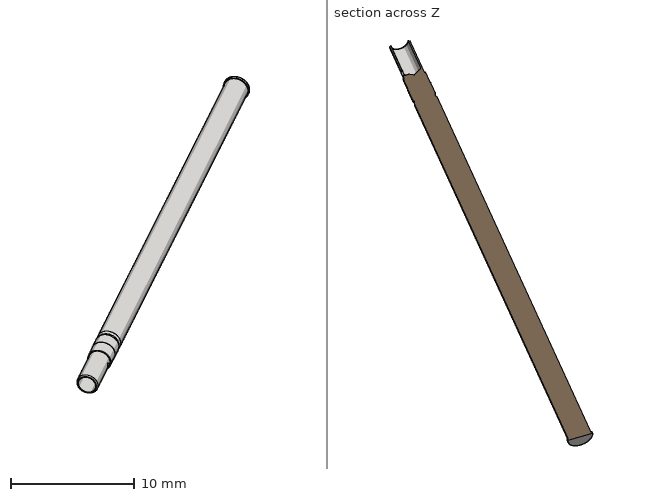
import cadquery as cq

length = 42.85
collar_diameter = 2.2
collar_thickness = 0.2
body_diameter = 2.0
tail_diameter = 1.8
tail_length = 3.5
tail_chamfer = 0.103

band_diameter = 1.95
band_length = 1.15

groove_center = 6.0
groove_width = 0.5
groove_depth = 0.08

bore_diameter = 1.45
bore_depth = 3.0
bore_cone_height = 0.43
side_hole_diameter = 0.43

tail_end = -length / 2
collar_end = length / 2
band_start = tail_end + tail_length
body_start = band_start + band_length
bore_bottom = tail_end + bore_depth


def revolve_about_y(points):
    """Turn a closed (radius, y) outline around the Y axis."""
    return cq.Workplane("XY").polyline(points).close().revolve(360, (0, 0, 0), (0, 1, 0))


def make_pin():
    collar_start = collar_end - collar_thickness
    groove_y = tail_end + groove_center
    body_radius = body_diameter / 2
    return revolve_about_y([
        (0, tail_end),
        (tail_diameter / 2 - tail_chamfer, tail_end),
        (tail_diameter / 2, tail_end + tail_chamfer),
        (tail_diameter / 2, band_start),
        (band_diameter / 2, band_start),
        (band_diameter / 2, body_start),
        (body_radius, body_start),
        (body_radius, groove_y - groove_width / 2),
        (body_radius - groove_depth, groove_y),
        (body_radius, groove_y + groove_width / 2),
        (body_radius, collar_start),
        (collar_diameter / 2, collar_start),
        (collar_diameter / 2, collar_end),
        (0, collar_end),
    ])


def make_bore():
    return revolve_about_y([
        (0, tail_end),
        (bore_diameter / 2, tail_end),
        (bore_diameter / 2, bore_bottom),
        (0, bore_bottom + bore_cone_height),
    ])


def make_side_hole():
    """Hole from the axis out through the +X wall, level with the bore bottom."""
    return (
        cq.Workplane("YZ")
        .center(bore_bottom, 0)
        .circle(side_hole_diameter / 2)
        .extrude(tail_diameter)
    )


result = make_pin().cut(make_bore()).cut(make_side_hole())